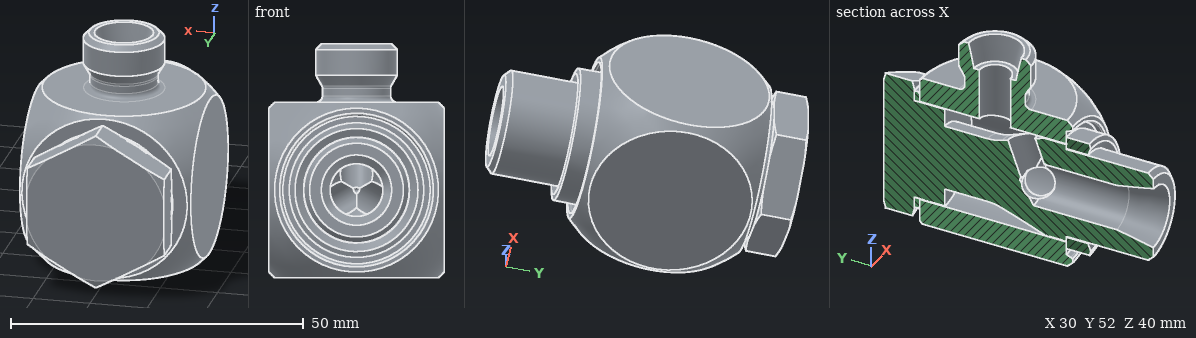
import cadquery as cq
import math


housing_width = 30.0
housing_half = housing_width / 2
housing_front_y = -housing_half
housing_back_y = 14.5
face_circle_diameter = 28.0
round_off_radius = math.hypot(housing_half, face_circle_diameter / 2)
housing_bore_diameter = 20.0
recess_mouth_diameter = 26.25
recess_middle_diameter = 25.9
recess_floor_diameter = 25.15
recess_step_depth = 0.4
recess_depth = 1.2

nozzle_diameter = 14.0
nozzle_height = 10.0
nozzle_top_z = housing_half + nozzle_height
nozzle_chamfer = 1.0
collar_length = 5.35
neck_diameter = 11.7
neck_cone_angle = 30.0
neck_fillet = 1.1
collar_fillet = 0.9
nozzle_mouth_diameter = 10.1
nozzle_seat_diameter = 8.0
nozzle_bore_diameter = 6.0

mouth_half_angle = 12.0

bolt_back_y = 21.5
bolt_length = 52.0
bolt_front_y = bolt_back_y - bolt_length
head_length = 6.0
head_front_y = bolt_back_y - head_length
head_flats = 24.0
head_chamfer_diameter = 24.8
head_chamfer_angle = 15.0
land_diameter = 19.95
thread_diameter = 18.0
thread_chamfer = 1.0
waist_diameter = 13.0
waist_cone_angle = 20.0
waist_bend_start_y = 1.45
waist_bend_end_y = -1.35
waist_back_y = 9.6
bolt_mouth_diameter = 12.0
bolt_bore_diameter = 9.0
bore_end_y = -7.5
drill_point_angle = 118.0
cross_hole_diameter = 5.5
cross_hole_origin_y = -8.15
cross_hole_tilt = waist_cone_angle
cross_hole_count = 3
cross_hole_inner_end = 0.25

ring_bevel_angle = 15.0
front_ring_diameter = 23.0
front_ring_bore = 18.1
front_ring_front_y = -18.5
front_ring_crest_diameter = 21.0
front_ring_countersink = 0.55
back_ring_diameter = 24.0
back_ring_crest_diameter = 23.0


def revolve_about_y(points):
    """Solid of revolution about Y from (radius, y) points."""
    return cq.Workplane("XY").polyline(points).close().revolve(360, (0, 0, 0), (0, 1, 0))


def cone_length(large_diameter, small_diameter, half_angle):
    """Axial length of a cone between two diameters."""
    return (large_diameter - small_diameter) / 2 / math.tan(math.radians(half_angle))


def bevel_drop(large_diameter, small_diameter, slope):
    """Axial drop of a shallow bevel whose slope is measured from the end face."""
    return (large_diameter - small_diameter) / 2 * math.tan(math.radians(slope))


def make_nozzle():
    """Solid nozzle: chamfered collar on a filleted neck."""
    collar_bottom_z = nozzle_top_z - collar_length
    neck_top_z = collar_bottom_z - cone_length(nozzle_diameter, neck_diameter, neck_cone_angle)
    collar_radius = nozzle_diameter / 2
    neck_radius = neck_diameter / 2
    foot_radius = neck_radius + neck_fillet
    foot_top_z = housing_half + neck_fillet
    foot_inset = neck_fillet * (1 - math.sqrt(0.5))
    half_bend = math.radians(neck_cone_angle / 2)
    bend_setback = collar_fillet * math.tan(half_bend)
    bend_sagitta = collar_fillet * (1 - math.cos(half_bend))
    profile = (
        cq.Workplane("XZ")
        .moveTo(0, 0)
        .lineTo(foot_radius, 0)
        .lineTo(foot_radius, housing_half)
        .threePointArc((neck_radius + foot_inset, housing_half + foot_inset), (neck_radius, foot_top_z))
        .lineTo(neck_radius, neck_top_z - bend_setback)
        .threePointArc(
            (neck_radius + bend_sagitta, neck_top_z - bend_setback + collar_fillet * math.sin(half_bend)),
            (
                neck_radius + bend_setback * math.sin(2 * half_bend),
                neck_top_z + bend_setback * math.cos(2 * half_bend),
            ),
        )
        .lineTo(collar_radius, collar_bottom_z)
        .lineTo(collar_radius, nozzle_top_z - nozzle_chamfer)
        .lineTo(collar_radius - nozzle_chamfer, nozzle_top_z)
        .lineTo(0, nozzle_top_z)
        .close()
    )
    return profile.revolve(360, (0, 0, 0), (0, 1, 0))


def make_nozzle_passage():
    """Conical mouth, flat seat and bore, running down to the housing bore."""
    seat_z = nozzle_top_z - cone_length(nozzle_mouth_diameter, nozzle_seat_diameter, mouth_half_angle)
    profile = cq.Workplane("XZ").polyline(
        [
            (0, 0),
            (nozzle_bore_diameter / 2, 0),
            (nozzle_bore_diameter / 2, seat_z),
            (nozzle_seat_diameter / 2, seat_z),
            (nozzle_mouth_diameter / 2, nozzle_top_z),
            (0, nozzle_top_z),
        ]
    )
    return profile.close().revolve(360, (0, 0, 0), (0, 1, 0))


def make_housing_bore():
    """Through bore with the tapered recess for the front sealing ring."""
    floor_y = housing_front_y + recess_depth
    return revolve_about_y(
        [
            (0, housing_front_y),
            (recess_mouth_diameter / 2, housing_front_y),
            (recess_middle_diameter / 2, housing_front_y + recess_step_depth),
            (recess_floor_diameter / 2, floor_y),
            (housing_bore_diameter / 2, floor_y),
            (housing_bore_diameter / 2, housing_back_y),
            (0, housing_back_y),
        ]
    )


def make_housing():
    """Block rounded off by a sphere, with the nozzle on top and its passages."""
    block = cq.Workplane("XY").box(
        housing_width, housing_back_y - housing_front_y, housing_width, centered=(True, False, True)
    )
    block = block.translate((0, housing_front_y, 0))
    rounded_block = block.intersect(cq.Workplane("XY").sphere(round_off_radius))
    body = rounded_block.union(make_nozzle())
    return body.cut(make_housing_bore()).cut(make_nozzle_passage())


def make_head():
    """Hexagon head with two flats facing +X and -X, bevelled at both ends."""
    corner_diameter = head_flats / math.cos(math.radians(30))
    hexagon = (
        cq.Workplane("XZ", origin=(0, bolt_back_y, 0))
        .transformed(rotate=(0, 0, 30))
        .polygon(6, corner_diameter)
        .extrude(head_length)
    )
    drop = bevel_drop(corner_diameter, head_chamfer_diameter, head_chamfer_angle)
    envelope = revolve_about_y(
        [
            (0, head_front_y),
            (head_chamfer_diameter / 2, head_front_y),
            (corner_diameter / 2, head_front_y + drop),
            (corner_diameter / 2, bolt_back_y - drop),
            (head_chamfer_diameter / 2, bolt_back_y),
            (0, bolt_back_y),
        ]
    )
    return hexagon.intersect(envelope)


def make_shank():
    """Threaded end, then a land that slopes in to the waist through an arc, then a second land."""
    land_front_y = housing_front_y + recess_depth
    land_radius = land_diameter / 2
    thread_radius = thread_diameter / 2
    waist_radius = waist_diameter / 2
    slope = math.radians(waist_cone_angle)
    bend_radius = (waist_bend_start_y - waist_bend_end_y) / math.sin(slope)
    bend_end_radius = waist_radius + bend_radius * (1 - math.cos(slope))
    bend_middle = (
        waist_radius + bend_radius * (1 - math.cos(slope / 2)),
        waist_bend_start_y - bend_radius * math.sin(slope / 2),
    )
    cone_front_y = waist_bend_end_y - (land_radius - bend_end_radius) / math.tan(slope)
    profile = (
        cq.Workplane("XY")
        .moveTo(0, bolt_front_y)
        .lineTo(thread_radius - thread_chamfer, bolt_front_y)
        .lineTo(thread_radius, bolt_front_y + thread_chamfer)
        .lineTo(thread_radius, land_front_y)
        .lineTo(land_radius, land_front_y)
        .lineTo(land_radius, cone_front_y)
        .lineTo(bend_end_radius, waist_bend_end_y)
        .threePointArc(bend_middle, (waist_radius, waist_bend_start_y))
        .lineTo(waist_radius, waist_back_y)
        .lineTo(land_radius, waist_back_y)
        .lineTo(land_radius, head_front_y)
        .lineTo(0, head_front_y)
        .close()
    )
    return profile.revolve(360, (0, 0, 0), (0, 1, 0))


def make_bolt_bore():
    """Blind bore with a conical mouth and a drill point."""
    bore_radius = bolt_bore_diameter / 2
    cone_end_y = bolt_front_y + cone_length(bolt_mouth_diameter, bolt_bore_diameter, mouth_half_angle)
    tip_y = bore_end_y + cone_length(bolt_bore_diameter, 0, drill_point_angle / 2)
    return revolve_about_y(
        [
            (0, bolt_front_y),
            (bolt_mouth_diameter / 2, bolt_front_y),
            (bore_radius, cone_end_y),
            (bore_radius, bore_end_y),
            (0, tip_y),
        ]
    )


def make_cross_holes():
    """Holes square to the sloping land, spread evenly about the bolt axis, the first toward +Z."""
    upright_hole = (
        cq.Workplane("XY")
        .workplane(offset=cross_hole_inner_end)
        .transformed(rotate=(0, 0, 90))
        .circle(cross_hole_diameter / 2)
        .extrude(land_diameter)
    )
    hole = upright_hole.rotate((0, 0, 0), (1, 0, 0), -cross_hole_tilt).translate((0, cross_hole_origin_y, 0))
    holes = hole
    for index in range(1, cross_hole_count):
        turn = index * 360 / cross_hole_count
        holes = holes.union(hole.rotate((0, 0, 0), (0, 1, 0), turn))
    return holes


def make_bolt():
    """Hexagon-headed bolt with its bore and cross holes."""
    passages = make_bolt_bore().union(make_cross_holes())
    return make_head().union(make_shank()).cut(passages)


def make_front_ring():
    """Ring standing in the recess, with a raised sealing crest and a countersunk bore."""
    back_y = housing_front_y + recess_depth
    drop = bevel_drop(front_ring_diameter, front_ring_crest_diameter, ring_bevel_angle)
    return revolve_about_y(
        [
            (front_ring_bore / 2, back_y),
            (front_ring_diameter / 2, back_y),
            (front_ring_diameter / 2, front_ring_front_y + drop),
            (front_ring_crest_diameter / 2, front_ring_front_y),
            (front_ring_bore / 2, front_ring_front_y + front_ring_countersink),
        ]
    )


def make_back_ring():
    """Ring between the head and the housing, bevelled toward the housing."""
    drop = bevel_drop(back_ring_diameter, back_ring_crest_diameter, ring_bevel_angle)
    return revolve_about_y(
        [
            (land_diameter / 2, housing_back_y),
            (back_ring_crest_diameter / 2, housing_back_y),
            (back_ring_diameter / 2, housing_back_y + drop),
            (back_ring_diameter / 2, head_front_y),
            (land_diameter / 2, head_front_y),
        ]
    )


housing = make_housing()
bolt = make_bolt()
front_ring = make_front_ring()
back_ring = make_back_ring()

result = cq.Compound.makeCompound([housing.val(), bolt.val(), front_ring.val(), back_ring.val()])